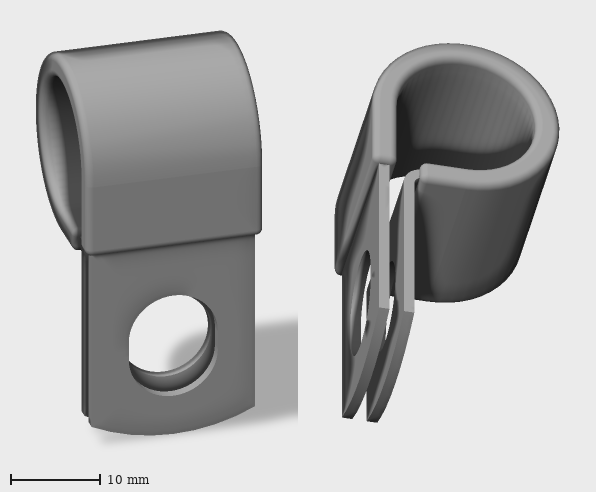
import cadquery as cq
import math


overall_height = 43.25
loop_diameter = 21.5
cushion_width = 20.65
strap_width = 19.05
strap_thickness = 1.2
side_run = 8.8
bottom_run = 5.28
bend_start = 4.9
bend_inner_radius = 1.0
hole_diameter = 10.4
hole_drop = 21.45
slot_length = 12.55
tip_sagitta = 2.15

cushion_wall = (cushion_width - strap_width) / 2
cushion_thickness = strap_thickness + 2 * cushion_wall
outer_radius = loop_diameter / 2
inner_radius = outer_radius - cushion_thickness
strap_outer_radius = outer_radius - cushion_wall
strap_inner_radius = strap_outer_radius - strap_thickness
bend_outer_radius = bend_inner_radius + strap_thickness
tip_z = outer_radius - overall_height
diagonal = math.sqrt(0.5)


def extrude_centred(outline, width):
    """Extrude an XZ outline symmetrically about Y = 0."""
    return outline.extrude(width / 2, both=True)


def make_cushion():
    """Three-quarter loop with two straight ends, rounded on every rim."""
    outline = (
        cq.Workplane("XZ")
        .moveTo(outer_radius, -side_run)
        .lineTo(outer_radius, 0)
        .threePointArc((-outer_radius * diagonal, outer_radius * diagonal), (0, -outer_radius))
        .lineTo(bottom_run, -outer_radius)
        .lineTo(bottom_run, -inner_radius)
        .lineTo(0, -inner_radius)
        .threePointArc((-inner_radius * diagonal, inner_radius * diagonal), (inner_radius, 0))
        .lineTo(inner_radius, -side_run)
        .close()
    )
    body = extrude_centred(outline, cushion_width)
    side_end = cq.selectors.NearestToPointSelector((strap_outer_radius, 0, -side_run))
    bottom_end = cq.selectors.NearestToPointSelector((bottom_run, 0, -strap_outer_radius))
    rims = body.faces("<Y or >Y").edges()
    rims = rims.add(body.faces(side_end).edges())
    rims = rims.add(body.faces(bottom_end).edges())
    return rims.fillet(cushion_wall)


def make_straight_leg():
    """Strap leg continuing down from the side of the cushion."""
    outline = (
        cq.Workplane("XZ")
        .moveTo(strap_inner_radius, 0)
        .lineTo(strap_outer_radius, 0)
        .lineTo(strap_outer_radius, tip_z)
        .lineTo(strap_inner_radius, tip_z)
        .close()
    )
    return extrude_centred(outline, strap_width)


def make_bent_leg():
    """Strap leg leaving the bottom of the cushion and bending downwards."""
    bend_z = -strap_inner_radius - bend_outer_radius
    outer_x = bend_start + bend_outer_radius
    inner_x = bend_start + bend_inner_radius
    outline = (
        cq.Workplane("XZ")
        .moveTo(0, -strap_inner_radius)
        .lineTo(bend_start, -strap_inner_radius)
        .radiusArc((outer_x, bend_z), bend_outer_radius)
        .lineTo(outer_x, tip_z)
        .lineTo(inner_x, tip_z)
        .lineTo(inner_x, bend_z)
        .radiusArc((bend_start, -strap_outer_radius), -bend_inner_radius)
        .lineTo(0, -strap_outer_radius)
        .close()
    )
    return extrude_centred(outline, strap_width)


def make_tip_envelope():
    """Solid whose curved underside trims both strap ends."""
    half_width = strap_width / 2
    shoulder_z = tip_z + tip_sagitta
    return (
        cq.Workplane("YZ")
        .moveTo(-half_width, 0)
        .lineTo(-half_width, shoulder_z)
        .threePointArc((0, tip_z), (half_width, shoulder_z))
        .lineTo(half_width, 0)
        .close()
        .extrude(outer_radius)
    )


def make_bolt_hole():
    """Round cutter for the bent leg."""
    return (
        cq.Workplane("YZ")
        .center(0, -hole_drop)
        .circle(hole_diameter / 2)
        .extrude(outer_radius)
    )


def make_adjustment_slot():
    """Vertical slot cutter for the straight leg, as wide as the bolt hole."""
    return (
        cq.Workplane("YZ")
        .center(0, -hole_drop)
        .slot2D(slot_length, hole_diameter, 90)
        .extrude(outer_radius)
    )


straight_leg = make_straight_leg().cut(make_adjustment_slot())
bent_leg = make_bent_leg().cut(make_bolt_hole())
legs = straight_leg.union(bent_leg).intersect(make_tip_envelope())
result = make_cushion().union(legs)